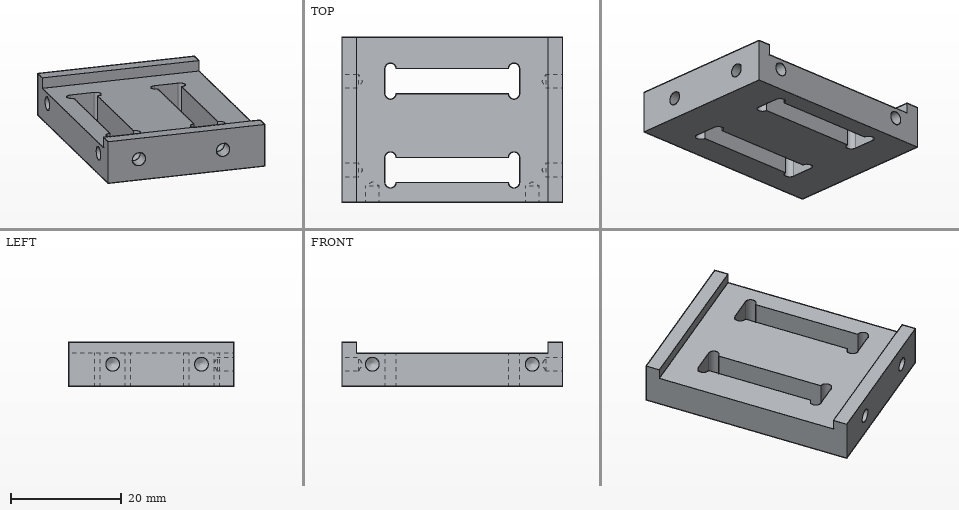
import cadquery as cq
import math

length = 40.0
width = 30.0
height = 8.0
rail_width = 2.65
rail_height = 2.0
floor_height = height - rail_height

slot_centres_y = (-9.1, 7.0)
slot_length = 24.4
slot_width = 4.5
relief_diameter = 2.0
relief_span_y = slot_width + relief_diameter
relief_x = (slot_length - relief_diameter) / 2

hole_diameter = 2.5
hole_depth = 3.0
hole_height = 4.0
drill_point_angle = 118.0
front_hole_x = 14.5


def make_channel_plate():
    """Block whose top is milled down between the two rails."""
    block = cq.Workplane("XY").box(length, width, height, centered=(True, True, False))
    channel = (
        cq.Workplane("XY")
        .workplane(offset=floor_height)
        .box(length - 2 * rail_width, width, rail_height, centered=(True, True, False))
    )
    return block.cut(channel)


def make_slot(centre_y):
    """Rectangular slot with a rounded relief pocket across each end."""
    slot = (
        cq.Workplane("XY")
        .center(0, centre_y)
        .rect(2 * relief_x, slot_width)
        .extrude(floor_height)
    )
    for x in (-relief_x, relief_x):
        relief = (
            cq.Workplane("XY")
            .center(x, centre_y)
            .slot2D(relief_span_y, relief_diameter, 90)
            .extrude(floor_height)
        )
        slot = slot.union(relief)
    return slot


def make_drilled_hole(mouth, direction):
    """Round blind hole with a conical drill point, starting at mouth."""
    radius = hole_diameter / 2
    point_length = radius / math.tan(math.radians(drill_point_angle / 2))
    up = cq.Vector(0, 0, 1)
    axial_plane = cq.Plane(origin=mouth, xDir=up, normal=up.cross(direction))
    profile = (
        cq.Workplane(axial_plane)
        .lineTo(radius, 0)
        .lineTo(radius, hole_depth)
        .lineTo(0, hole_depth + point_length)
        .close()
    )
    return profile.revolve(360, (0, 0), (0, 1))


result = make_channel_plate()

for slot_y in slot_centres_y:
    result = result.cut(make_slot(slot_y))

for slot_y in slot_centres_y:
    for side in (-1, 1):
        end_mouth = (side * length / 2, slot_y, hole_height)
        result = result.cut(make_drilled_hole(end_mouth, cq.Vector(-side, 0, 0)))

for hole_x in (-front_hole_x, front_hole_x):
    front_mouth = (hole_x, -width / 2, hole_height)
    result = result.cut(make_drilled_hole(front_mouth, cq.Vector(0, 1, 0)))